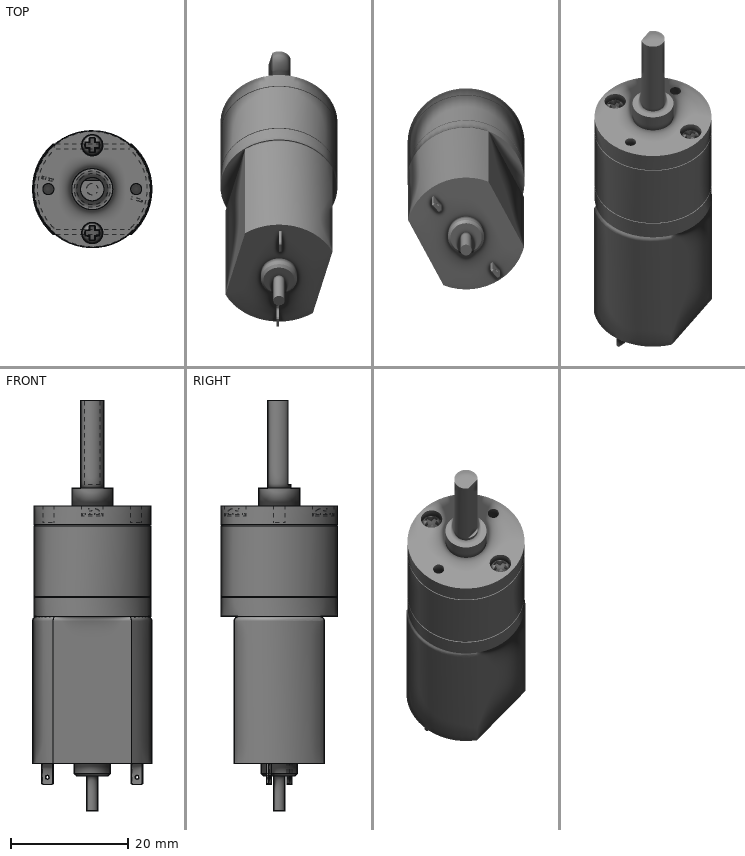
import cadquery as cq

total_height = 70.1
motor_bottom = 8.05
motor_height = 25.2
gearbox_height = 18.85
front_boss_height = 3.0
rear_boss_height = 2.1
motor_top = motor_bottom + motor_height
gearbox_top = motor_top + gearbox_height
front_boss_top = gearbox_top + front_boss_height
rear_boss_bottom = motor_bottom - rear_boss_height

gearbox_diameter = 20.0
end_plate_thickness = 3.3
joint_width = 0.2
joint_depth = 0.15
front_boss_diameter = 7.0

motor_diameter = 20.4
motor_flat_width = 15.4
motor_top_fillet = 0.85

shaft_diameter = 4.0
shaft_flat_depth = 0.5
shaft_round_length = 0.6

rear_boss_diameter = 6.2
rear_boss_chamfer = 0.4
rear_shaft_diameter = 1.95

hole_pitch_radius = 7.5
mounting_hole_diameter = 1.9
mounting_hole_depth = 2.8
counterbore_diameter = 3.65
counterbore_depth = 1.75
screw_head_diameter = 3.5
screw_head_height = 1.5
cross_length = 2.4
cross_width = 0.85
cross_depth = 1.2
cross_wall_taper = 8.0

terminal_twist = -15.0
terminal_x = 7.65
terminal_y = -1.75
terminal_width = 1.95
terminal_thickness = 0.4
terminal_length = 3.6
terminal_corner = 0.2
terminal_hole_diameter = 0.6
terminal_hole_drop = 2.3


def cylinder(diameter, bottom, top, x=0.0, y=0.0):
    """Upright cylinder between two heights."""
    return cq.Workplane("XY", origin=(x, y, bottom)).circle(diameter / 2).extrude(top - bottom)


def make_gearbox():
    gearbox = cylinder(gearbox_diameter, motor_top, gearbox_top)
    core_diameter = gearbox_diameter - 2 * joint_depth
    for joint in (motor_top + end_plate_thickness, gearbox_top - end_plate_thickness):
        bottom = joint - joint_width / 2
        top = joint + joint_width / 2
        ring = cylinder(motor_diameter, bottom, top).cut(cylinder(core_diameter, bottom, top))
        gearbox = gearbox.cut(ring)
    return gearbox.union(cylinder(front_boss_diameter, gearbox_top, front_boss_top))


def make_motor():
    can = cylinder(motor_diameter, motor_bottom, motor_top)
    flats = cq.Workplane("XY", origin=(0, 0, motor_bottom)).box(
        motor_diameter, motor_flat_width, motor_height, centered=(True, True, False)
    )
    return can.intersect(flats).faces(">Z").edges().fillet(motor_top_fillet)


def make_output_shaft():
    shaft = cylinder(shaft_diameter, front_boss_top, total_height)
    flat_y = shaft_diameter / 2 - shaft_flat_depth
    flat_cut = cq.Workplane("XY", origin=(0, flat_y, front_boss_top + shaft_round_length)).box(
        shaft_diameter, shaft_diameter, total_height, centered=(True, False, False)
    )
    return shaft.cut(flat_cut)


def make_rear_end():
    boss = cylinder(rear_boss_diameter, rear_boss_bottom, motor_bottom)
    boss = boss.faces("<Z").chamfer(rear_boss_chamfer)
    return boss.union(cylinder(rear_shaft_diameter, 0, motor_bottom))


def make_screw_head(y):
    """Domed screw head with a flared cross recess, standing on the counterbore floor."""
    floor = gearbox_top - counterbore_depth
    radius = screw_head_diameter / 2
    dome_radius = (radius**2 + screw_head_height**2) / (2 * screw_head_height)
    ball = cq.Workplane("XY").sphere(dome_radius)
    ball = ball.translate((0, y, floor + screw_head_height - dome_radius))
    head = cylinder(screw_head_diameter, floor, gearbox_top, y=y).intersect(ball)
    recess = cq.Workplane("XY", origin=(0, y, floor + screw_head_height - cross_depth))
    for length_x, length_y in ((cross_length, cross_width), (cross_width, cross_length)):
        head = head.cut(recess.rect(length_x, length_y).extrude(cross_depth, taper=-cross_wall_taper))
    return head


def make_terminal():
    """Tab on the +X side with clipped lower corners and a wire hole."""
    tab = cq.Workplane("XY", origin=(0, 0, motor_bottom - terminal_length)).box(
        terminal_width, terminal_thickness, terminal_length, centered=(True, True, False)
    )
    tab = tab.faces("<Z").edges("|Y").chamfer(terminal_corner)
    hole = cq.Workplane("XZ", origin=(0, 0, motor_bottom - terminal_hole_drop))
    tab = tab.cut(hole.circle(terminal_hole_diameter / 2).extrude(terminal_thickness, both=True))
    return tab.rotate((0, 0, 0), (0, 0, 1), terminal_twist).translate((terminal_x, terminal_y, 0))


result = make_gearbox().union(make_motor()).union(make_output_shaft()).union(make_rear_end())

for side in (-1, 1):
    offset = side * hole_pitch_radius
    hole_floor = gearbox_top - mounting_hole_depth
    counterbore_floor = gearbox_top - counterbore_depth
    result = result.cut(cylinder(mounting_hole_diameter, hole_floor, gearbox_top, x=offset))
    result = result.cut(cylinder(counterbore_diameter, counterbore_floor, gearbox_top, y=offset))
    result = result.union(make_screw_head(offset))

for turn in (0, 180):
    terminal = make_terminal().rotate((0, 0, 0), (0, 0, 1), turn)
    result = result.union(terminal)